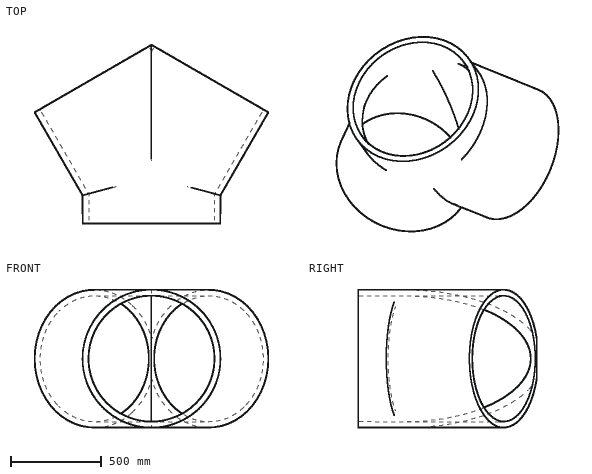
import cadquery as cq
import math

outer_diameter = 763.0
bore_diameter = 695.0
overall_width = 1292.0
overall_depth = 987.0
branch_angle = 30.0

sine = math.sin(math.radians(branch_angle))
cosine = math.cos(math.radians(branch_angle))
branch_length = (overall_width / 2 - outer_diameter / 2 * cosine) / sine
junction_y = overall_depth - branch_length / cosine
mitre_slope = math.tan(math.radians(branch_angle / 2))
mitre_drop = overall_width * mitre_slope


def cylinder(diameter, length, start_y, direction):
    start = cq.Vector(0, start_y, 0)
    return cq.Workplane(cq.Solid.makeCylinder(diameter / 2, length, start, cq.Vector(*direction)))


def branch_zone():
    """Space on the +X side of the centre plane and beyond the inlet mitre plane."""
    corners = [
        (0, junction_y),
        (overall_width, junction_y - mitre_drop),
        (overall_width, 2 * overall_depth),
        (0, 2 * overall_depth),
    ]
    return cq.Workplane("XY").polyline(corners).close().extrude(outer_diameter, both=True)


def wye(diameter):
    """Solid wye: an inlet and two branches, mitred where they meet."""
    zone = branch_zone()
    inlet = cylinder(diameter, overall_depth, 0, (0, 1, 0))
    inlet = inlet.cut(zone).cut(zone.mirror("YZ"))

    overrun = outer_diameter
    branch = cylinder(
        diameter,
        branch_length + overrun,
        junction_y - overrun * cosine,
        (sine, cosine, 0),
    ).translate((-overrun * sine, 0, 0))
    branch = branch.intersect(zone)
    return inlet.union(branch).union(branch.mirror("YZ"))


result = wye(outer_diameter).cut(wye(bore_diameter))